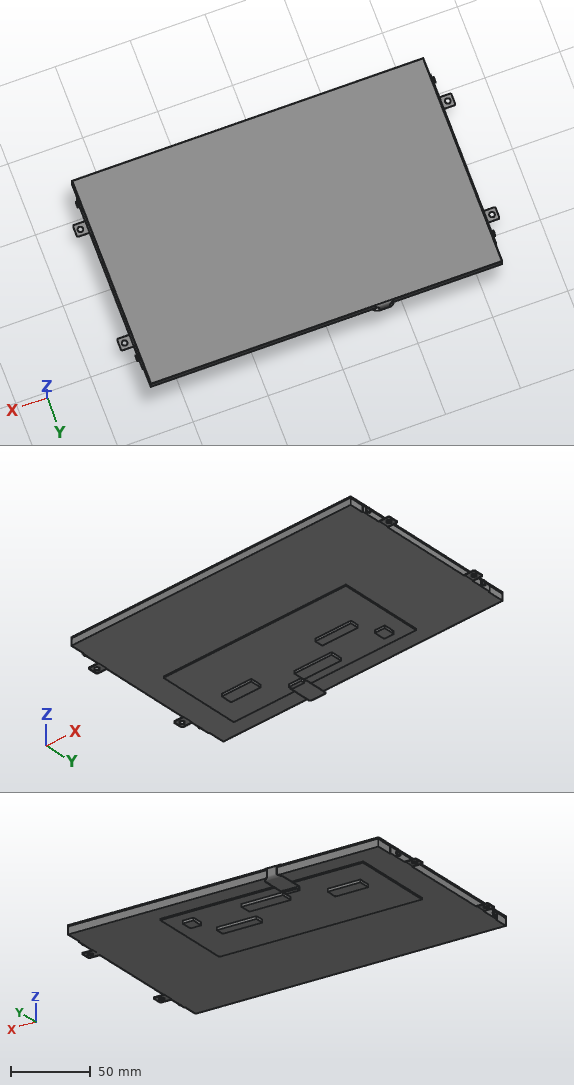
import cadquery as cq

panel_length = 234.6
panel_width = 142.8
panel_height = 6.5

glass_thickness = 1.0
lip_thickness = 0.3
glass_length = panel_length - 2 * lip_thickness
frame_top = panel_height - glass_thickness

rail_outer_x = 118.0
rail_y_min = -60.3
rail_y_max = 58.5
rail_edge_radius = 0.6

tab_span = 252.6
tab_width = 8.2
tab_thickness = 0.6
tab_corner_radius = 1.0
tab_hole_diameter = 3.5
tab_hole_inset = 3.7
tab_y_positions = (-41.4, 38.6)

stud_neck_diameter = 3.0
stud_head_diameter = 3.8
stud_outer_x = 119.4
stud_head_thickness = 0.5
stud_z = 2.7
stud_y_positions = (-56.7, 51.4)

board_thickness = 1.0
board_x_min = -97.0
board_x_max = 56.2
board_y_min = -7.5
board_y_max = rail_y_max
component_height = 2.0

flex_thickness = 0.2
flex_x = -38.2
flex_width = 13.6
flex_bulge = 2.2
flex_plan_rise = 2.8
flex_bottom = -1.9
connector_width = 10.4
connector_back_y = 53.2
connector_front_y = 50.2

component_row_y = 41.4
component_outlines = (
    (-81.6, -56.8, 30.0, 38.8),
    (-30.8, -13.2, component_row_y, connector_front_y),
    (-13.2, 0.5, component_row_y, connector_front_y),
    (2.8, 32.8, 23.4, 30.0),
    (36.8, 45.0, component_row_y, connector_front_y),
)


def block(x_min, x_max, y_min, y_max, z_min, z_max):
    """Axis-aligned block between the given limits."""
    size = (x_max - x_min, y_max - y_min, z_max - z_min)
    return cq.Workplane("XY").box(*size, centered=False).translate((x_min, y_min, z_min))


def make_rail():
    """Rail on the +X side, rounded along its upper outer edge."""
    rail = block(panel_length / 2, rail_outer_x, rail_y_min, rail_y_max, 0, frame_top)
    return rail.edges(">X and >Z").fillet(rail_edge_radius)


def make_tab(y):
    """Drilled +X mounting tab flush with the frame's underside."""
    tab_end_x = tab_span / 2
    half_width = tab_width / 2
    tab = block(panel_length / 2, tab_end_x, y - half_width, y + half_width, 0, tab_thickness)
    tab = tab.edges("|Z and >X").fillet(tab_corner_radius)
    hole = (
        cq.Workplane("XY")
        .center(tab_end_x - tab_hole_inset, y)
        .circle(tab_hole_diameter / 2)
        .extrude(tab_thickness)
    )
    return tab.cut(hole)


def make_stud(y):
    """Headed stud standing out of the +X rail."""
    foot = cq.Workplane("YZ", origin=(panel_length / 2, y, stud_z))
    neck = foot.circle(stud_neck_diameter / 2).extrude(stud_outer_x - panel_length / 2)
    head = (
        cq.Workplane("YZ", origin=(stud_outer_x, y, stud_z))
        .circle(stud_head_diameter / 2)
        .extrude(-stud_head_thickness)
    )
    return neck.union(head)


def make_frame():
    """Frame with the glass seat, two rails, four tabs and four studs."""
    half_width = panel_width / 2
    frame = block(-panel_length / 2, panel_length / 2, -half_width, half_width, 0, panel_height)
    seat = block(
        -glass_length / 2, glass_length / 2, -half_width, half_width, frame_top, panel_height
    )
    frame = frame.cut(seat)
    side_parts = [make_rail()]
    side_parts += [make_tab(y) for y in tab_y_positions]
    side_parts += [make_stud(y) for y in stud_y_positions]
    for side_part in side_parts:
        frame = frame.union(side_part)
        frame = frame.union(side_part.mirror("YZ"))
    return frame


def make_glass():
    """Plain glass plate flush with the top of the frame lips."""
    half_width = panel_width / 2
    half_length = glass_length / 2
    return block(-half_length, half_length, -half_width, half_width, frame_top, panel_height)


def make_board():
    """Driver board with the flex connector and the other components underneath."""
    underside = -board_thickness
    board = block(board_x_min, board_x_max, board_y_min, board_y_max, underside, 0)
    connector = (
        flex_x - connector_width / 2,
        flex_x + connector_width / 2,
        connector_front_y,
        connector_back_y,
    )
    for outline in (connector, *component_outlines):
        board = board.union(block(*outline, underside - component_height, underside))
    return board


def flex_loop(inset):
    """Solid U-shaped loop lying inside the strip's outer surface by the given inset."""
    back_y = panel_width / 2
    apex_y = back_y + flex_bulge - inset
    height = panel_height - flex_bottom - 2 * inset
    loop = (
        cq.Workplane("XY")
        .box(flex_width, apex_y - connector_back_y, height, centered=False)
        .translate((flex_x - flex_width / 2, connector_back_y, flex_bottom + inset))
    )
    return loop.edges("|X and >Y").fillet(flex_bulge - inset)


def make_flex():
    """Thin strip bent round past the back edge, then running flat to the connector."""
    back_y = panel_width / 2
    upper_run = block(
        flex_x - flex_width / 2,
        flex_x + flex_width / 2,
        connector_back_y,
        back_y,
        flex_bottom + flex_thickness,
        panel_height,
    )
    strip = flex_loop(0).cut(flex_loop(flex_thickness)).cut(upper_run)
    plan = (
        cq.Workplane("XY", origin=(flex_x, 0, flex_bottom))
        .moveTo(-flex_width / 2, connector_back_y)
        .lineTo(-flex_width / 2, back_y)
        .threePointArc((0, back_y + flex_plan_rise), (flex_width / 2, back_y))
        .lineTo(flex_width / 2, connector_back_y)
        .close()
        .extrude(panel_height - flex_bottom)
    )
    return strip.intersect(plan)


frame = make_frame()
glass = make_glass()
board = make_board()
flex = make_flex()

result = cq.Compound.makeCompound([frame.val(), glass.val(), board.val(), flex.val()])